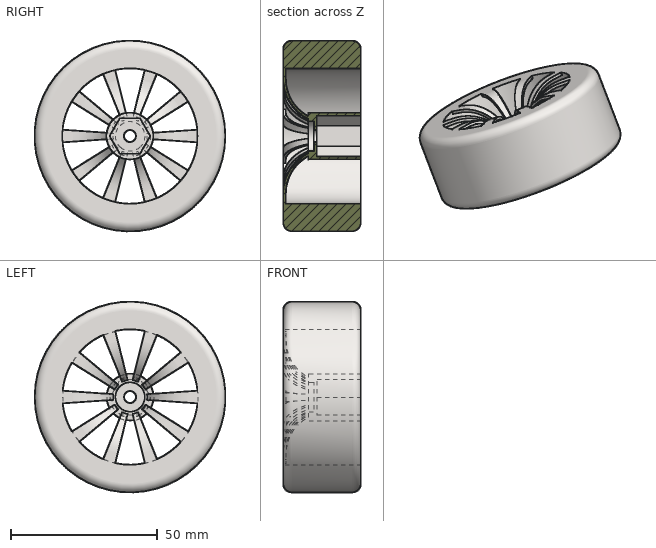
import math

import cadquery as cq

width = 26.5
outer_radius = 32.5
shoulder_fillet = 3.0
face_x = -width / 2
back_x = width / 2

rim_radius = 23.0
spoke_count = 10
spoke_thickness = 1.0
dish_flat_radius = 19.4
dish_inner_radius = 5.8
spoke_outer_width = 4.4
spoke_inner_width = 2.0
tyre_overlap = 1.0

hub_radius = 8.0
hub_face_depth = 8.5
recess_radius = 5.0
recess_depth = 2.0
web_thickness = 1.0
bore_radius = 2.0
socket_width = 12.0

hub_face_x = face_x + hub_face_depth
web_front_x = hub_face_x + recess_depth
web_back_x = web_front_x + web_thickness

dish_run = dish_flat_radius - dish_inner_radius
dish_arc_radius = (dish_run**2 + hub_face_depth**2) / (2 * hub_face_depth)
dish_center_x = face_x + dish_arc_radius
dish_end_angle = math.asin(dish_run / dish_arc_radius)
spoke_root_radius = rim_radius + tyre_overlap


def cylinder(radius, start_x, end_x):
    """Solid cylinder on the X axis between two X stations."""
    return cq.Workplane("YZ", origin=(start_x, 0, 0)).circle(radius).extrude(end_x - start_x)


def make_tyre():
    """Tyre ring with rounded shoulders and an open bore."""
    tyre = cylinder(outer_radius, face_x, back_x).edges().fillet(shoulder_fillet)
    return tyre.cut(cylinder(rim_radius, face_x, back_x))


def dish_point(arc_radius, angle):
    """Point (x, radius from the axis) on a dish arc, at an angle from its flat end."""
    return (
        dish_center_x - arc_radius * math.cos(angle),
        dish_flat_radius - arc_radius * math.sin(angle),
    )


def make_dish():
    """Thin dished shell, revolved about X, from which the spokes are trimmed."""
    back_arc_radius = dish_arc_radius - spoke_thickness
    middle_angle = dish_end_angle / 2
    return (
        cq.Workplane("XY")
        .moveTo(face_x, spoke_root_radius)
        .lineTo(*dish_point(dish_arc_radius, 0))
        .threePointArc(
            dish_point(dish_arc_radius, middle_angle),
            dish_point(dish_arc_radius, dish_end_angle),
        )
        .lineTo(*dish_point(back_arc_radius, dish_end_angle))
        .threePointArc(
            dish_point(back_arc_radius, middle_angle),
            dish_point(back_arc_radius, 0),
        )
        .lineTo(face_x + spoke_thickness, spoke_root_radius)
        .close()
        .revolve(360, (0, 0, 0), (1, 0, 0))
    )


def make_spoke(dish):
    """Tapered spoke along +Y, trimmed from the dish."""
    taper = (spoke_outer_width - spoke_inner_width) / (rim_radius - dish_inner_radius)
    root_half_width = (spoke_outer_width + taper * tyre_overlap) / 2
    tip_radius = recess_radius
    tip_half_width = (spoke_inner_width - taper * (dish_inner_radius - tip_radius)) / 2
    outline = (
        cq.Workplane("YZ", origin=(face_x, 0, 0))
        .polyline([
            (spoke_root_radius, -root_half_width),
            (spoke_root_radius, root_half_width),
            (tip_radius, tip_half_width),
            (tip_radius, -tip_half_width),
        ])
        .close()
        .extrude(width)
    )
    return dish.intersect(outline)


def cut_hub(body):
    """Front recess, shaft bore and rear hex socket."""
    body = body.cut(cylinder(recess_radius, hub_face_x, web_front_x))
    body = body.cut(cylinder(bore_radius, web_front_x, web_back_x))
    socket_diameter = socket_width / math.cos(math.pi / 6)
    socket = (
        cq.Workplane("YZ", origin=(web_back_x, 0, 0))
        .polygon(6, socket_diameter)
        .extrude(back_x - web_back_x)
    )
    return body.cut(socket)


wheel = make_tyre().union(cylinder(hub_radius, hub_face_x, back_x))
spoke = make_spoke(make_dish())
for index in range(spoke_count):
    wheel = wheel.union(spoke.rotate((0, 0, 0), (1, 0, 0), index * 360 / spoke_count))

result = cut_hub(wheel)